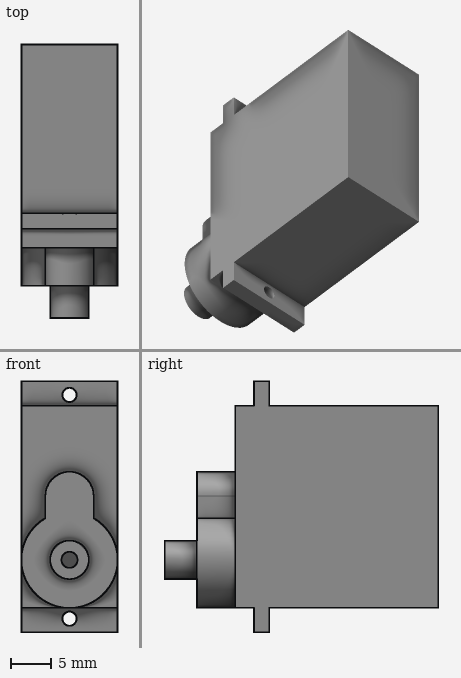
import cadquery as cq

width = 12.0
total_length = 34.1

case_height = 25.25
gearbox_length = 4.75
shaft_length = 4.02
case_length = total_length - gearbox_length - shaft_length

flange_height = 31.3
flange_thickness = 1.95
flange_setback = 2.35
mount_hole_diameter = 1.75
mount_hole_edge_distance = 1.7

gear_radius = width / 2
gear_z = -case_height / 2 + gear_radius
lobe_width = width / 2
lobe_offset = 7.98
shaft_diameter = 4.8
bore_diameter = 2.0

gearbox_front = -gearbox_length
shaft_front = gearbox_front - shaft_length


def block(height, front, length):
    """Full-width block centred on Z, extending back from its front face."""
    return cq.Workplane("XY").box(width, length, height).translate((0, front + length / 2, 0))


def cylinder(diameter, z, front, length):
    """Cylinder along Y, extending back from its front face."""
    axis_start = cq.Vector(0, front, z)
    return cq.Workplane(cq.Solid.makeCylinder(diameter / 2, length, axis_start, cq.Vector(0, 1, 0)))


def make_gearbox():
    """Round gear cover with a narrower round-topped lobe above it."""
    lobe_z = gear_z + lobe_offset
    cover = cylinder(2 * gear_radius, gear_z, gearbox_front, gearbox_length)
    lobe_end = cylinder(lobe_width, lobe_z, gearbox_front, gearbox_length)
    lobe_neck = (
        cq.Workplane("XY")
        .box(lobe_width, gearbox_length, lobe_offset)
        .translate((0, gearbox_front / 2, gear_z + lobe_offset / 2))
    )
    return cover.union(lobe_neck).union(lobe_end)


case = block(case_height, 0, case_length)
flange = block(flange_height, flange_setback, flange_thickness)
shaft = cylinder(shaft_diameter, gear_z, shaft_front, shaft_length)

result = case.union(flange).union(make_gearbox()).union(shaft)

result = result.cut(cylinder(bore_diameter, gear_z, shaft_front, shaft_length))

mount_hole_z = flange_height / 2 - mount_hole_edge_distance
for z in (-mount_hole_z, mount_hole_z):
    result = result.cut(cylinder(mount_hole_diameter, z, flange_setback, flange_thickness))